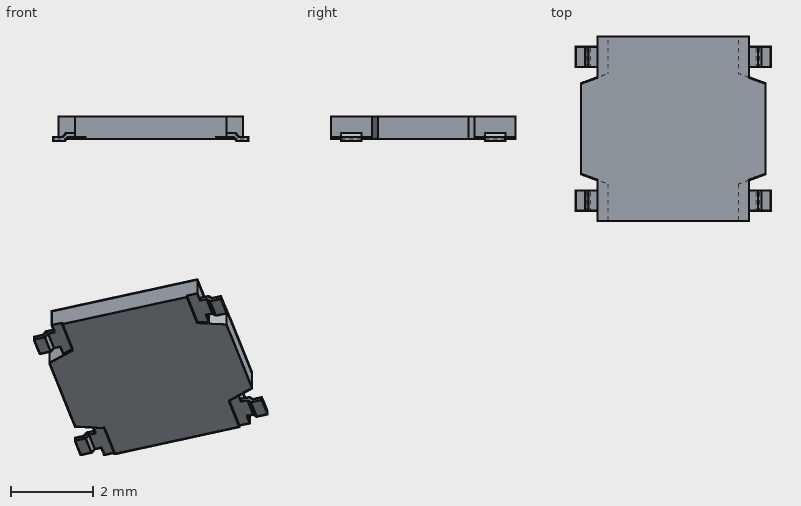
import cadquery as cq
import math

LEAD_SPAN = 4.75
BODY_LENGTH = 4.5
BODY_WIDTH = 4.5
TOTAL_HEIGHT = 0.6
STANDOFF = 0.05

NOTCH_DEPTH = 0.4
NOTCH_LENGTH = 1.0
NOTCH_ANGLE = 20.0

RELIEF_DEPTH = 0.265
RELIEF_CEILING = 0.1

LEAD_THICKNESS = 0.1
LEAD_WIDTH = 0.5
LEAD_CENTER_Y = 1.75
LEAD_FOOT_LENGTH = 0.23
LEAD_RISE = RELIEF_CEILING
LEAD_BEND_ANGLE = 50.0
LEAD_EMBED = 0.1

body_x = BODY_WIDTH / 2
body_y = BODY_LENGTH / 2
tip_x = LEAD_SPAN / 2
notch_x = body_x - NOTCH_DEPTH
notch_y = body_y - NOTCH_LENGTH
slant_slope = math.tan(math.radians(NOTCH_ANGLE))


def corner_cutter(depth, bottom, top):
    """Prism removing the +X +Y body corner to the given depth, ending on the slanted wall."""
    inner_x = body_x - depth
    inner_wall_y = notch_y + (notch_x - inner_x) * slant_slope
    outer_wall_y = notch_y - (body_x - notch_x) * slant_slope
    outline = [
        (inner_x, body_y),
        (inner_x, inner_wall_y),
        (body_x, outer_wall_y),
        (body_x, body_y),
    ]
    return cq.Workplane("XY").workplane(offset=bottom).polyline(outline).close().extrude(top - bottom)


def lead():
    """Lead on the +X +Y corner: flat foot, ramp and a shoulder entering the body."""
    bend_angle = math.radians(LEAD_BEND_ANGLE)
    bend_x = tip_x - LEAD_FOOT_LENGTH
    shoulder_x = bend_x - LEAD_RISE / math.tan(bend_angle)
    end_x = notch_x - LEAD_EMBED
    bend_shift = LEAD_THICKNESS * math.tan(bend_angle / 2)
    profile = [
        (tip_x, 0),
        (tip_x, LEAD_THICKNESS),
        (bend_x, LEAD_THICKNESS),
        (shoulder_x, LEAD_RISE + LEAD_THICKNESS),
        (end_x, LEAD_RISE + LEAD_THICKNESS),
        (end_x, LEAD_RISE),
        (shoulder_x - bend_shift, LEAD_RISE),
        (bend_x - bend_shift, 0),
    ]
    blank = cq.Workplane("XZ").polyline(profile).close().extrude(LEAD_WIDTH / 2, both=True)
    return blank.translate((0, LEAD_CENTER_Y, 0))


def at_four_corners(shape):
    """The +X +Y shape together with its mirror images at the other three corners."""
    right_pair = shape.union(shape.mirror("XZ"))
    return right_pair.union(right_pair.mirror("YZ"))


def body():
    """Rectangular block with notched corners, relieved underneath."""
    block = (
        cq.Workplane("XY")
        .workplane(offset=STANDOFF)
        .rect(BODY_WIDTH, BODY_LENGTH)
        .extrude(TOTAL_HEIGHT - STANDOFF)
    )
    notch = corner_cutter(NOTCH_DEPTH, STANDOFF, TOTAL_HEIGHT)
    relief = corner_cutter(NOTCH_DEPTH + RELIEF_DEPTH, STANDOFF, RELIEF_CEILING)
    return block.cut(at_four_corners(notch)).cut(at_four_corners(relief))


result = body().union(at_four_corners(lead()))